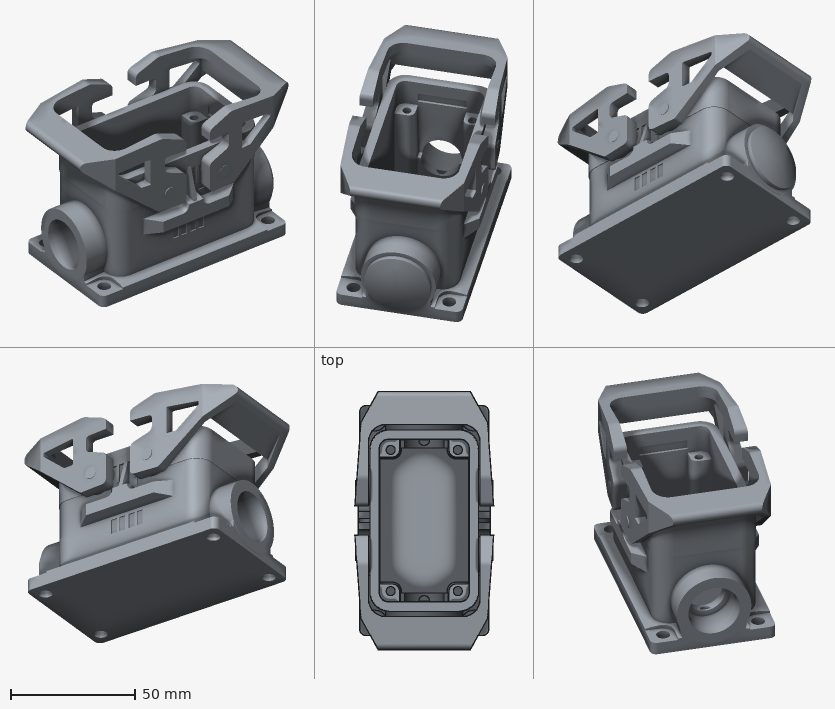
import cadquery as cq
import math

PLATE_WIDTH = 52.1
PLATE_LENGTH = 92.7
PLATE_CORNER_R = 2.6
PLATE_EDGE_Z = 6.1
PLATE_CROWN_Z = 7.2
HOLE_X = 19.8
HOLE_Y = 40.9
HOLE_D = 5.6
SEAT_Z = 5.4
SEAT_R = 4.8

BODY_WIDTH = 43.1
BODY_LENGTH = 72.5
BODY_R = 7.3
COLLAR_STEP = 0.3
COLLAR_Z = 38.8
TOP_Z = 53.9

FLOOR_Z = 4.2
CAVITY_WIDTH = 35.6
CAVITY_LENGTH = 64.9
CAVITY_R = 3.4
CAVITY_DRAFT = 0.4
PILLAR_X = 10.0
PILLAR_Y = 25.6
PILLAR_R = 3.5
PILLAR_Z = 42.1
PILLAR_DRAFT = 1.2
SCREW_X = 13.5
SCREW_Y = 28.4
SCREW_D = 3.6
SCREW_DEPTH = 15.6
RECESS_DEPTH = 1.2
RECESS_Z = (43.9, 48.1)

PORT_LENGTH = 93.0
PORT_Z = 17.1
PORT_R = 15.5
BORE_R = 10.7
BORE_END_Y = 33.3
THROAT_R = 8.0
SADDLE_Y = 29.2
SADDLE_SCREW_R = 2.2
SADDLE_SCREW_DEPTH = 3.1
WEB_X = 13.3
CAP_R = 13.6
CAP_EDGE_Y = 48.3
CAP_CROWN_Y = 51.0

LEDGE_BASE_HALF = 22.7
LEDGE_TIP_HALF = 16.5
LEDGE_BASE_Z = (24.2, 31.7)
LEDGE_TIP_Z = (25.4, 30.5)
LEDGE_X = 26.7
BLOCK_HALF = 3.5
BLOCK_ARC_R = 3.1
BLOCK_BASE_Z = 35.0
BLOCK_TIP_Z = 33.8
FIN_WIDTH = 1.8
FIN_X = 26.2
FIN_Z = 48.2

GROOVE_WIDTH = 2.8
GROOVE_DEPTH = 0.5
GROOVE_Y = (-6.2, -2.3, 2.3, 6.2)
GROOVE_ROWS = ((16.3, 22.8), (35.0, 47.0))

LEVER_REACH = 52.1
LEVER_HOOK_Y = 5.8
LEVER_TIP_X = 28.0
LEVER_FOLD_X = 25.5
LEVER_FOLD_Y = 39.5
LEVER_END_X = 18.5
LEVER_BOTTOM_Z = 36.4
LEVER_HEEL_R = 1.6
LEVER_TOE_R = 2.1
CREST_Y = 17.3
CREST_Z = 71.0
CREST_R = 4.2
HOOK_Z = 61.4
HOOK_TOP_Z = 66.5
HOOK_R = 2.6
MOUTH_Y = 16.0
MOUTH_Z = 54.4
MOUTH_R = 1.6
SHOULDER_Z = 50.5
WINDOW_CORNERS = ((22.8, 63.0), (37.8, 61.5), (37.8, 59.9), (27.2, 50.8), (22.8, 50.8))
WINDOW_R = 0.5
TOP_ANGLE = math.radians(5.3)
BOTTOM_ANGLE = math.radians(40.1)
NOSE_R = 2.5
OPENING_X = 22.4
OPENING_Y = 38.6
OPENING_R = 6.8
CORNER_WEB_Z = 63.8
HOLLOW_Y = 50.0
HOLLOW_X = 15.4
HOLLOW_Z = (56.6, 62.5)
PIVOT_Y = 13.5
PIVOT_Z = 43.7
PIVOT_R = 2.6
PIVOT_X = 27.7
WASHER_R = 7.2


def block(x, y, z):
    """Box from (min, max) ranges along each axis."""
    size = (x[1] - x[0], y[1] - y[0], z[1] - z[0])
    return cq.Workplane("XY").box(*size, centered=False).translate((x[0], y[0], z[0]))


def rounded_box(width, length, radius, z):
    """Box centred on the Z axis with rounded vertical edges."""
    base = cq.Workplane("XY").workplane(offset=z[0]).rect(width, length)
    return base.extrude(z[1] - z[0]).edges("|Z").fillet(radius)


def both_sides(solid, plane):
    return solid.union(solid.mirror(plane))


def four_corners(solid):
    return both_sides(both_sides(solid, "YZ"), "XZ")


def round_bar(radius, center_z, y):
    """Cylinder along Y between the two y values."""
    plane = cq.Plane(origin=(0, y[0], center_z), xDir=(1, 0, 0), normal=(0, 1, 0))
    return cq.Workplane(plane).circle(radius).extrude(y[1] - y[0])


def side_bar(radius, y, z, x):
    """Cylinder along X between the two x values."""
    plane = cq.Workplane("YZ").workplane(offset=x[0])
    return plane.center(y, z).circle(radius).extrude(x[1] - x[0])


def rounded_outline(plane, corners):
    """Closed outline through (u, v, radius) corners, each rounded by a tangent arc."""
    path = plane
    started = False
    for i, (u, v, radius) in enumerate(corners):
        before = cq.Vector(*corners[i - 1][:2])
        after = cq.Vector(*corners[(i + 1) % len(corners)][:2])
        corner = cq.Vector(u, v)
        to_before = (before - corner).normalized()
        to_after = (after - corner).normalized()
        half = to_before.getAngle(to_after) / 2
        start = corner + to_before * (radius / math.tan(half))
        end = corner + to_after * (radius / math.tan(half))
        bisector = (to_before + to_after).normalized()
        middle = corner + bisector * (radius / math.sin(half) - radius)
        path = path.lineTo(start.x, start.y) if started else path.moveTo(start.x, start.y)
        started = True
        if radius > 0:
            path = path.threePointArc((middle.x, middle.y), (end.x, end.y))
    return path.close()


def make_plate():
    plate = rounded_box(PLATE_WIDTH, PLATE_LENGTH, PLATE_CORNER_R, (0, PLATE_EDGE_Z))
    plate_rim = cq.Sketch().rect(PLATE_WIDTH, PLATE_LENGTH).vertices().fillet(PLATE_CORNER_R)
    body_rim = cq.Sketch().rect(BODY_WIDTH, BODY_LENGTH).vertices().fillet(BODY_R)
    crown = cq.Workplane("XY").placeSketch(
        plate_rim.moved(cq.Location(cq.Vector(0, 0, PLATE_EDGE_Z))),
        body_rim.moved(cq.Location(cq.Vector(0, 0, PLATE_CROWN_Z))),
    ).loft(ruled=True)
    seat = block((HOLE_X - SEAT_R, PLATE_WIDTH), (HOLE_Y - SEAT_R, PLATE_LENGTH), (SEAT_Z, PLATE_CROWN_Z))
    seat = seat.edges("|Z and <X and <Y").fillet(SEAT_R)
    hole = cq.Workplane("XY").center(HOLE_X, HOLE_Y).circle(HOLE_D / 2).extrude(PLATE_CROWN_Z)
    return plate.union(crown).cut(four_corners(seat.union(hole)))


def make_shell():
    lower = rounded_box(BODY_WIDTH, BODY_LENGTH, BODY_R, (0, COLLAR_Z))
    collar = rounded_box(
        BODY_WIDTH + 2 * COLLAR_STEP, BODY_LENGTH + 2 * COLLAR_STEP, BODY_R + COLLAR_STEP,
        (COLLAR_Z, TOP_Z),
    )
    return lower.union(collar)


def make_ports():
    end_y = PORT_LENGTH / 2
    ports = round_bar(PORT_R, PORT_Z, (-end_y, end_y))
    web_top = PORT_Z - math.sqrt(PORT_R**2 - WEB_X**2)
    return ports.union(block((-WEB_X, WEB_X), (-PLATE_LENGTH / 2, PLATE_LENGTH / 2), (0, web_top)))


def make_cavity():
    cavity = (
        cq.Workplane("XY").workplane(offset=FLOOR_Z)
        .sketch().rect(CAVITY_WIDTH, CAVITY_LENGTH).vertices().fillet(CAVITY_R).finalize()
        .extrude(TOP_Z - FLOOR_Z, taper=-CAVITY_DRAFT)
    )
    spread = (PILLAR_Z - FLOOR_Z) * math.tan(math.radians(PILLAR_DRAFT))
    inner_x = PILLAR_X - spread
    inner_y = PILLAR_Y - spread
    foot_x = BODY_WIDTH / 2 - inner_x
    foot_y = BODY_LENGTH / 2 - inner_y
    foot = cq.Sketch().rect(foot_x, foot_y).vertices("<X and <Y").fillet(PILLAR_R)
    pillar = (
        cq.Workplane("XY").workplane(offset=FLOOR_Z)
        .center(inner_x + foot_x / 2, inner_y + foot_y / 2).placeSketch(foot)
        .extrude(PILLAR_Z - FLOOR_Z, taper=PILLAR_DRAFT)
    )
    screw_hole = (
        cq.Workplane("XY").workplane(offset=PILLAR_Z - SCREW_DEPTH)
        .center(SCREW_X, SCREW_Y).circle(SCREW_D / 2).extrude(SCREW_DEPTH)
    )
    pillars = four_corners(pillar.cut(screw_hole))
    saddle = block((-PILLAR_X, PILLAR_X), (SADDLE_Y, BODY_LENGTH / 2), (0, PORT_Z))
    saddle_screw = (
        cq.Workplane("XY").workplane(offset=PORT_Z - THROAT_R - SADDLE_SCREW_DEPTH)
        .center(0, CAVITY_LENGTH / 2).circle(SADDLE_SCREW_R).extrude(SADDLE_SCREW_DEPTH + THROAT_R)
    )
    above_saddle = block(
        (-SADDLE_SCREW_R, SADDLE_SCREW_R), (SADDLE_Y, CAVITY_LENGTH / 2), (0, PORT_Z)
    )
    saddle_screw = saddle_screw.intersect(above_saddle)
    recess = block(
        (-PILLAR_X, PILLAR_X), (PILLAR_Y, CAVITY_LENGTH / 2 + RECESS_DEPTH), RECESS_Z
    )
    cavity = cavity.cut(pillars).cut(both_sides(saddle, "XZ"))
    return cavity.union(both_sides(saddle_screw.union(recess), "XZ"))


def make_bores():
    end_y = PORT_LENGTH / 2
    throat = round_bar(THROAT_R, PORT_Z, (-end_y, end_y))
    socket = round_bar(BORE_R, PORT_Z, (BORE_END_Y, end_y))
    return throat.union(both_sides(socket, "XZ"))


def make_cap():
    """Domed plug closing the +Y port."""
    seat_y = PORT_LENGTH / 2
    rise = CAP_CROWN_Y - CAP_EDGE_Y
    dome_r = (CAP_R**2 + rise**2) / (2 * rise)
    half_r = CAP_R / 2
    half_y = CAP_CROWN_Y - dome_r + math.sqrt(dome_r**2 - half_r**2)
    half_section = (
        cq.Workplane("YZ").moveTo(BORE_END_Y, 0).lineTo(CAP_CROWN_Y, 0)
        .threePointArc((half_y, half_r), (CAP_EDGE_Y, CAP_R))
        .lineTo(seat_y, CAP_R).lineTo(seat_y, BORE_R).lineTo(BORE_END_Y, BORE_R).close()
    )
    return half_section.revolve(360, (0, 0, 0), (1, 0, 0)).translate((0, 0, PORT_Z))


def block_outline(plane, bottom_z, fillet_z, top_z):
    """Central block of the ledge, flared by a concave arc on each side."""
    flare = BLOCK_HALF + BLOCK_ARC_R
    knee = BLOCK_ARC_R * (1 - math.sqrt(0.5))
    return (
        plane.moveTo(-flare, bottom_z).lineTo(flare, bottom_z).lineTo(flare, fillet_z)
        .threePointArc((BLOCK_HALF + knee, fillet_z + knee), (BLOCK_HALF, fillet_z + BLOCK_ARC_R))
        .lineTo(BLOCK_HALF, top_z).lineTo(-BLOCK_HALF, top_z)
        .lineTo(-BLOCK_HALF, fillet_z + BLOCK_ARC_R)
        .threePointArc((-BLOCK_HALF - knee, fillet_z + knee), (-flare, fillet_z))
        .close()
    )


def make_ledge():
    base_x = BODY_WIDTH / 2
    base_mid_z = sum(LEDGE_BASE_Z) / 2
    tip_mid_z = sum(LEDGE_TIP_Z) / 2
    root = cq.Workplane("YZ").workplane(offset=base_x)
    ledge = (
        root.center(0, base_mid_z)
        .rect(2 * LEDGE_BASE_HALF, LEDGE_BASE_Z[1] - LEDGE_BASE_Z[0])
        .workplane(offset=LEDGE_X - base_x).center(0, tip_mid_z - base_mid_z)
        .rect(2 * LEDGE_TIP_HALF, LEDGE_TIP_Z[1] - LEDGE_TIP_Z[0])
        .loft(ruled=True)
    )
    rise = block_outline(root, tip_mid_z, LEDGE_BASE_Z[1], BLOCK_BASE_Z)
    rise = rise.workplane(offset=LEDGE_X - base_x)
    rise = block_outline(rise, tip_mid_z, LEDGE_TIP_Z[1], BLOCK_TIP_Z).loft(ruled=True)
    fin = (
        cq.Workplane("XZ").moveTo(base_x, tip_mid_z).lineTo(base_x, FIN_Z)
        .lineTo(base_x + COLLAR_STEP, FIN_Z).lineTo(FIN_X, BLOCK_TIP_Z)
        .lineTo(FIN_X, tip_mid_z).close()
        .extrude(FIN_WIDTH / 2, both=True)
    )
    return ledge.union(rise).union(fin)


def make_grooves():
    depth_x = BODY_WIDTH / 2 - GROOVE_DEPTH
    grooves = cq.Workplane("XY")
    for z in GROOVE_ROWS:
        for y in GROOVE_Y:
            y_range = (y - GROOVE_WIDTH / 2, y + GROOVE_WIDTH / 2)
            grooves = grooves.union(block((depth_x, LEDGE_X), y_range, z))
    return grooves


def make_levers():
    half = (TOP_ANGLE + BOTTOM_ANGLE) / 2
    tilt = (BOTTOM_ANGLE - TOP_ANGLE) / 2
    nose_y = LEVER_REACH + NOSE_R * (math.cos(tilt) / math.sin(half) - 1)
    nose_z = CREST_Z - (nose_y - CREST_Y) * math.tan(TOP_ANGLE)
    heel_y = nose_y - (nose_z - LEVER_BOTTOM_Z) / math.tan(BOTTOM_ANGLE)
    side = cq.Workplane("YZ").workplane(offset=-LEVER_TIP_X)
    outline = [
        (LEVER_HOOK_Y, HOOK_Z, 0), (LEVER_HOOK_Y, HOOK_TOP_Z, HOOK_R), (CREST_Y, CREST_Z, CREST_R),
        (nose_y, nose_z, NOSE_R), (heel_y, LEVER_BOTTOM_Z, LEVER_HEEL_R),
        (LEVER_HOOK_Y, LEVER_BOTTOM_Z, LEVER_TOE_R), (LEVER_HOOK_Y, SHOULDER_Z, HOOK_R),
        (MOUTH_Y, MOUTH_Z, HOOK_R), (MOUTH_Y, HOOK_Z, MOUTH_R),
    ]
    window = [(y, z, WINDOW_R) for y, z in WINDOW_CORNERS]
    lever = rounded_outline(side, outline).extrude(2 * LEVER_TIP_X)
    lever = lever.cut(rounded_outline(side, window).extrude(2 * LEVER_TIP_X))

    right = [
        (LEVER_TIP_X, LEVER_HOOK_Y), (LEVER_FOLD_X, LEVER_FOLD_Y), (LEVER_END_X, LEVER_REACH),
    ]
    left = [(-x, y) for x, y in reversed(right)]
    plan = cq.Workplane("XY").polyline(right + left).close().extrude(CREST_Z)
    lever = lever.intersect(plan)

    opening = rounded_box(2 * OPENING_X, 2 * OPENING_Y, OPENING_R, (0, CREST_Z))
    square = block((-OPENING_X, OPENING_X), (0, OPENING_Y), (0, CORNER_WEB_Z))
    hollow_plan = [
        (OPENING_X, OPENING_Y), (HOLLOW_X, HOLLOW_Y), (-HOLLOW_X, HOLLOW_Y), (-OPENING_X, OPENING_Y),
    ]
    hollow_side = [
        (OPENING_Y, 0), (OPENING_Y, HOLLOW_Z[0]), (HOLLOW_Y, HOLLOW_Z[1]), (HOLLOW_Y, 0),
    ]
    hollow = cq.Workplane("XY").polyline(hollow_plan).close().extrude(CREST_Z)
    hollow = hollow.intersect(side.polyline(hollow_side).close().extrude(2 * LEVER_TIP_X))
    lever = lever.cut(opening).cut(square).cut(hollow)

    inner_x = BODY_WIDTH / 2 - GROOVE_DEPTH
    pivot = side_bar(PIVOT_R, PIVOT_Y, PIVOT_Z, (inner_x, PIVOT_X))
    pivot = pivot.union(side_bar(WASHER_R, PIVOT_Y, PIVOT_Z, (inner_x, OPENING_X)))
    return both_sides(lever.union(both_sides(pivot, "YZ")), "XZ")


housing = make_plate().union(make_shell()).union(make_ports())
housing = housing.union(both_sides(make_ledge(), "YZ"))
housing = housing.cut(make_cavity()).cut(make_bores())
housing = housing.cut(both_sides(make_grooves(), "YZ"))
result = housing.union(make_cap()).union(make_levers())